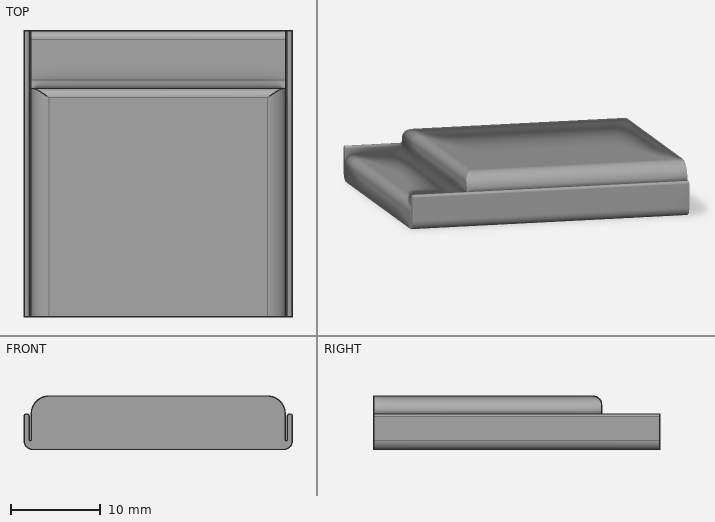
import cadquery as cq

width = 30.0
length = 32.0
height = 6.0

wall_height = 4.0
wall_thickness = 0.6
wall_tip_radius = wall_thickness / 2
slot_width = 0.2
slot_floor = 1.0
slot_corner_radius = 0.09
bottom_edge_radius = 1.0

block_side_radius = 2.0
block_back_radius = 1.0
ledge_height = 3.0
ledge_depth = 6.5
ledge_root_radius = 1.0
ledge_back_radius = 1.0

wall_tip_z = wall_height - wall_tip_radius
core_width = width - 2 * (wall_thickness + slot_width)
front_y = -length / 2
back_y = length / 2
block_back_y = back_y - ledge_depth


def box_from(x_size, y_min, y_max, z_min, z_max):
    """Box centred on X = 0, spanning the given Y and Z ranges."""
    return (
        cq.Workplane("XY")
        .box(x_size, y_max - y_min, z_max - z_min, centered=(True, False, False))
        .translate((0, y_min, z_min))
    )


def make_slot(side):
    """Cutter for the round-cornered slot on one side (-1 or +1 along X)."""
    slot = box_from(slot_width, front_y, back_y, slot_floor, wall_height)
    slot = slot.edges("|Y and <Z").fillet(slot_corner_radius)
    return slot.translate((side * (core_width + slot_width) / 2, 0, 0))


def make_wall_tip(side):
    """Rod that gives the wall on one side its full-round top."""
    return (
        cq.Workplane("XZ", origin=(0, back_y, 0))
        .center(side * (width / 2 - wall_tip_radius), wall_tip_z)
        .circle(wall_tip_radius)
        .extrude(length)
    )


def make_tray():
    """Base plate with a full-round wall along each side, open where the core sits."""
    tray = box_from(width, front_y, back_y, 0, wall_tip_z)
    tray = tray.edges("|Y and <Z").fillet(bottom_edge_radius)
    tray = tray.cut(box_from(core_width, front_y, back_y, slot_floor, wall_height))
    for side in (-1, 1):
        tray = tray.cut(make_slot(side)).union(make_wall_tip(side))
    return tray


def make_core():
    """Stepped core: lengthwise profile trimmed by the round-shouldered cross-section."""
    profile = (
        cq.Workplane("YZ")
        .moveTo(front_y, 0)
        .lineTo(back_y, 0)
        .lineTo(back_y, ledge_height - ledge_back_radius)
        .radiusArc((back_y - ledge_back_radius, ledge_height), -ledge_back_radius)
        .lineTo(block_back_y + ledge_root_radius, ledge_height)
        .radiusArc((block_back_y, ledge_height + ledge_root_radius), ledge_root_radius)
        .lineTo(block_back_y, height - block_back_radius)
        .radiusArc((block_back_y - block_back_radius, height), -block_back_radius)
        .lineTo(front_y, height)
        .close()
        .extrude(core_width / 2, both=True)
    )
    outline = box_from(core_width, front_y, back_y, 0, height)
    outline = outline.edges("|Y and >Z").fillet(block_side_radius)
    return profile.intersect(outline)


result = make_tray().union(make_core())